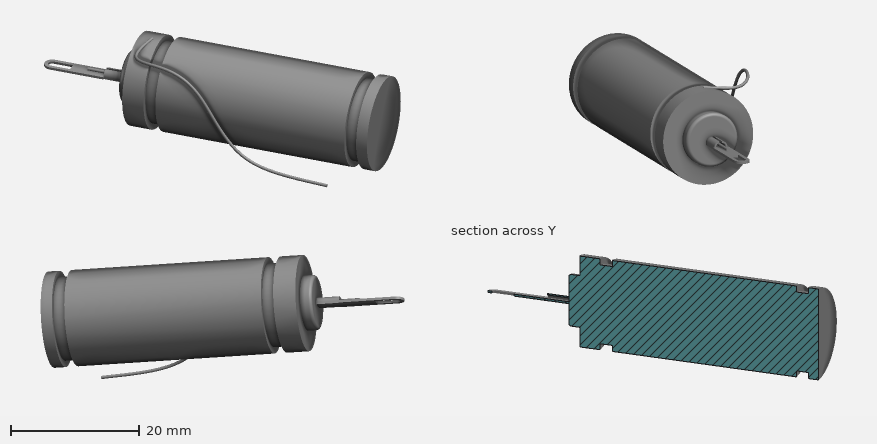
import cadquery as cq
import math


CASE_DIAMETER = 15.1
GROOVE_DIAMETER = 13.1
SEAL_DIAMETER = 8.65
LEAD_DIAMETER = 0.5
OVERALL_LENGTH = 56.45
SEAL_START = 13.85
SEAL_HEIGHT = 1.85
SEAL_FILLET = 0.5
CASE_START = SEAL_START + SEAL_HEIGHT
CASE_LENGTH = OVERALL_LENGTH - CASE_START
GROOVE_WIDTH = 2.0
GROOVE_STARTS = (19.25, 52.65)
LEAD_START = 7.15

TAB_WIDTH = 2.55
TAB_THICKNESS = 0.4
TAB_TOP = -LEAD_DIAMETER / 2
TAB_END_RADIUS = TAB_WIDTH / 2
EYE_WIDTH = 1.35
EYE_END = 4.45
BARREL_START = 10.2
BARREL_LENGTH = SEAL_START - BARREL_START
WING_RADIUS = 0.9
WING_WALL = 0.3
BARREL_GAP = 0.4

WIRE_DIAMETER = 0.5
WIRE_PATH = [
    (17.9, 0.0, 7.55),
    (17.35, -2.15, 7.4),
    (17.1, -4.2, 7.3),
    (17.4, -5.8, 7.35),
    (19.4, -7.95, 7.85),
    (22.25, -9.05, 8.2),
    (24.8, -9.55, 7.95),
    (26.8, -9.75, 7.15),
    (29.2, -9.95, 5.2),
    (31.2, -10.05, 2.35),
    (33.25, -10.05, -0.8),
    (37.0, -10.05, -4.5),
    (42.75, -10.05, -6.3),
    (50.75, -10.05, -6.9),
]


def x_cylinder(start, length, diameter, z=0.0):
    """Cylinder along X, starting at x = start, with its axis at height z."""
    return cq.Workplane("YZ", origin=(start, 0, z)).circle(diameter / 2).extrude(length)


def make_wire():
    spine = cq.Workplane("XY").spline(WIRE_PATH)
    start = cq.Vector(*WIRE_PATH[0])
    direction = spine.val().tangentAt(0)
    profile = cq.Workplane(cq.Plane(origin=start, normal=direction)).circle(WIRE_DIAMETER / 2)
    return profile.sweep(spine)


def make_case(wire):
    case = x_cylinder(CASE_START, CASE_LENGTH, CASE_DIAMETER)
    for start in GROOVE_STARTS:
        ring = x_cylinder(start, GROOVE_WIDTH, CASE_DIAMETER)
        core = x_cylinder(start, GROOVE_WIDTH, GROOVE_DIAMETER)
        case = case.cut(ring.cut(core))
    seal = x_cylinder(SEAL_START, SEAL_HEIGHT, SEAL_DIAMETER).faces("<X").edges().fillet(SEAL_FILLET)
    lead = x_cylinder(LEAD_START, SEAL_START - LEAD_START, LEAD_DIAMETER)
    return case.union(seal).union(lead).cut(wire)


def make_tab():
    """Flat strip with a round end and an eye that is round at the same end."""

    def outline(radius, end):
        return (
            cq.Workplane("XY", origin=(0, 0, TAB_TOP))
            .moveTo(end, -radius)
            .lineTo(TAB_END_RADIUS, -radius)
            .threePointArc((TAB_END_RADIUS - radius, 0), (TAB_END_RADIUS, radius))
            .lineTo(end, radius)
            .close()
            .extrude(-TAB_THICKNESS)
        )

    return outline(TAB_END_RADIUS, BARREL_START).cut(outline(EYE_WIDTH / 2, EYE_END))


def make_wing():
    """Quarter ring that curls from the +Y edge of the floor up to the gap above the lead."""
    diagonal = math.sqrt(0.5)
    centre = BARREL_GAP / 2
    inner_radius = WING_RADIUS - WING_WALL
    return (
        cq.Workplane("YZ", origin=(BARREL_START, centre, TAB_TOP))
        .moveTo(WING_RADIUS, 0)
        .threePointArc((WING_RADIUS * diagonal, WING_RADIUS * diagonal), (0, WING_RADIUS))
        .lineTo(0, inner_radius)
        .threePointArc((inner_radius * diagonal, inner_radius * diagonal), (inner_radius, 0))
        .close()
        .extrude(BARREL_LENGTH)
    )


def make_barrel():
    """Narrow floor with a wing curled over from each side."""
    floor_width = BARREL_GAP + 2 * WING_RADIUS
    floor = cq.Workplane("XY", origin=(BARREL_START, 0, TAB_TOP - TAB_THICKNESS)).box(
        BARREL_LENGTH, floor_width, TAB_THICKNESS, centered=(False, True, False)
    )
    wing = make_wing()
    return floor.union(wing).union(wing.mirror("XZ"))


def make_lug():
    return make_tab().union(make_barrel())


wire = make_wire()
case = make_case(wire)
lug = make_lug()

result = cq.Compound.makeCompound([case.solids().val(), lug.solids().val(), wire.solids().val()])